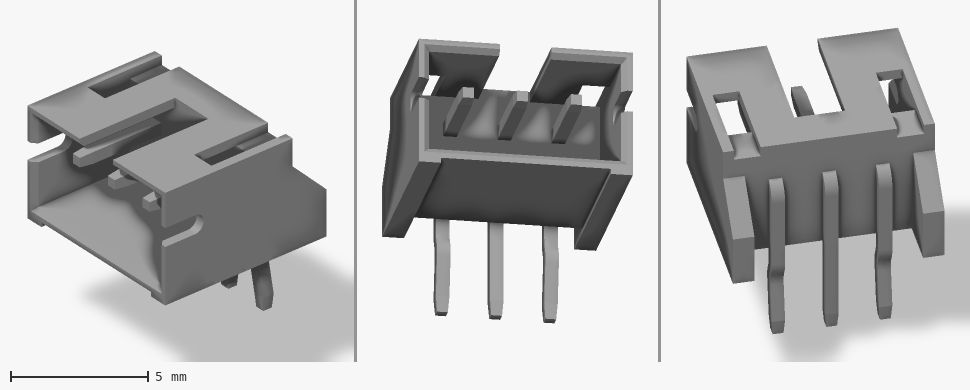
import cadquery as cq
import math


width = 7.9
deck_depth = 6.0
total_depth = 7.6
housing_height = 4.8
wall = 0.4
foot_height = 0.2
foot_width = 2 * wall
wing_height = 2.0
cavity_depth = 4.5

cavity_width = width - 2 * wall
cavity_floor = foot_height + wall
cavity_top = housing_height - wall
cavity_height = cavity_top - cavity_floor
lead_in = wall / 2

key_width = 1.9
window_width = 1.0
window_front = 2.5
side_slot_height = 2 * wall
side_slot_depth = 1.8
side_slot_top = 3.3

pin_count = 3
pitch = 2.0
pin = 0.5
tip = wall
taper = 0.6
pin_axis_z = 3.1
pin_front = 0.705
leg_length = 3.4
bend_inner_radius = 0.3

kink_start = 0.27
kink_angle = math.radians(28)
upper_kink_radius = 0.85
kink_straight_drop = 0.1
lower_kink_radius = 0.8

leg_rear = deck_depth + pin
taper_start_z = taper - leg_length


def box(size_x, y_start, y_end, z_start, z_end, x=0):
    """Block centred on x, given by its Y and Z limits."""
    block = cq.Workplane("XY").box(size_x, y_end - y_start, z_end - z_start, centered=(True, False, False))
    return block.translate((x, y_start, z_start))


def extrude_across(profile, size_x, x=0):
    """Extrude a closed YZ profile symmetrically about x."""
    return profile.extrude(size_x / 2, both=True).translate((x, 0, 0))


def make_shell():
    """Block with sloping rear wings and a lengthwise channel between the feet."""
    wing_length = total_depth - deck_depth
    side = (
        cq.Workplane("YZ")
        .moveTo(0, 0)
        .lineTo(total_depth, 0)
        .lineTo(total_depth, wing_height)
        .lineTo(deck_depth, wing_height + wing_length)
        .lineTo(deck_depth, housing_height)
        .lineTo(0, housing_height)
        .close()
    )
    between_feet = width - 2 * foot_width
    return (
        extrude_across(side, width)
        .cut(box(between_feet, 0, deck_depth, 0, foot_height))
        .cut(box(between_feet, deck_depth, total_depth, 0, housing_height))
    )


def make_cavity():
    """Rectangular pocket with a flared mouth."""
    pocket = box(cavity_width, 0, cavity_depth, cavity_floor, cavity_top)
    flare = (
        cq.Workplane("XZ", origin=(0, 0, (cavity_floor + cavity_top) / 2))
        .rect(cavity_width + 2 * lead_in, cavity_height + 2 * lead_in)
        .workplane(offset=-lead_in)
        .rect(cavity_width, cavity_height)
        .loft(ruled=True)
    )
    return pocket.union(flare)


def make_side_slot():
    """Round-ended slot through both side walls, open at the mating face."""
    radius = side_slot_height / 2
    bottom = side_slot_top - side_slot_height
    profile = (
        cq.Workplane("YZ")
        .moveTo(0, bottom)
        .lineTo(side_slot_depth - radius, bottom)
        .threePointArc((side_slot_depth, bottom + radius), (side_slot_depth - radius, side_slot_top))
        .lineTo(0, side_slot_top)
        .close()
    )
    return extrude_across(profile, width)


def make_housing():
    housing = make_shell().cut(make_cavity()).cut(make_side_slot())
    housing = housing.cut(box(key_width, 0, cavity_depth, cavity_top, housing_height))
    window_x = (cavity_width - window_width) / 2
    for x in (-window_x, window_x):
        housing = housing.cut(box(window_width, window_front, deck_depth, cavity_top, housing_height, x))
    return housing


def make_taper(base_center, direction):
    """Square taper that narrows along the given direction."""
    return (
        cq.Workplane(cq.Plane(base_center, (1, 0, 0), direction))
        .rect(pin, pin)
        .workplane(offset=taper)
        .rect(tip, tip)
        .loft(ruled=True)
    )


def make_bent_bar(x):
    """Horizontal bar that bends through the rear wall and runs down its outside to Z = 0."""
    bend_outer_radius = bend_inner_radius + pin
    bar_top = pin_axis_z + pin / 2
    bend_y = deck_depth - bend_inner_radius
    bend_z = bar_top - bend_outer_radius
    diagonal = math.sqrt(0.5)
    profile = (
        cq.Workplane("YZ")
        .moveTo(pin_front + taper, bar_top)
        .lineTo(bend_y, bar_top)
        .threePointArc(
            (bend_y + bend_outer_radius * diagonal, bend_z + bend_outer_radius * diagonal),
            (leg_rear, bend_z),
        )
        .lineTo(leg_rear, 0)
        .lineTo(deck_depth, 0)
        .lineTo(deck_depth, bend_z)
        .threePointArc(
            (bend_y + bend_inner_radius * diagonal, bend_z + bend_inner_radius * diagonal),
            (bend_y, bar_top - pin),
        )
        .lineTo(pin_front + taper, bar_top - pin)
        .close()
    )
    return extrude_across(profile, pin, x)


def make_straight_leg(x):
    return box(pin, deck_depth, leg_rear, taper_start_z, 0, x)


def kink_points():
    """Start, middle and end of each of the two arcs down the front face of a kinked leg."""
    def upper(angle):
        y = deck_depth - upper_kink_radius * (1 - math.cos(angle))
        return y, -kink_start - upper_kink_radius * math.sin(angle)

    upper_end = upper(kink_angle)
    lower_start = (
        upper_end[0] - kink_straight_drop * math.tan(kink_angle),
        upper_end[1] - kink_straight_drop,
    )
    center_y = lower_start[0] + lower_kink_radius * math.cos(kink_angle)
    center_z = lower_start[1] - lower_kink_radius * math.sin(kink_angle)

    to_taper_y = deck_depth - center_y
    to_taper_z = center_z - taper_start_z
    reach = math.hypot(to_taper_y, to_taper_z)
    return_angle = math.atan2(to_taper_z, -to_taper_y) - math.acos(lower_kink_radius / reach)

    def lower(angle):
        y = center_y - lower_kink_radius * math.cos(angle)
        return y, center_z - lower_kink_radius * math.sin(angle)

    return [
        upper(0),
        upper(kink_angle / 2),
        upper_end,
        lower_start,
        lower((return_angle - kink_angle) / 2),
        lower(return_angle),
    ]


def make_kinked_leg(x):
    """Leg that bows forward; its rear face repeats the front face one pin width behind."""
    front = kink_points()
    rear = [(y + pin, z) for y, z in front]
    profile = (
        cq.Workplane("YZ")
        .moveTo(deck_depth, 0)
        .lineTo(*front[0])
        .threePointArc(front[1], front[2])
        .lineTo(*front[3])
        .threePointArc(front[4], front[5])
        .lineTo(deck_depth, taper_start_z)
        .lineTo(leg_rear, taper_start_z)
        .lineTo(*rear[5])
        .threePointArc(rear[4], rear[3])
        .lineTo(*rear[2])
        .threePointArc(rear[1], rear[0])
        .lineTo(leg_rear, 0)
        .close()
    )
    return extrude_across(profile, pin, x)


def make_pin(x, kinked):
    leg = make_kinked_leg(x) if kinked else make_straight_leg(x)
    leg_axis_y = deck_depth + pin / 2
    return (
        make_bent_bar(x)
        .union(leg)
        .union(make_taper((x, pin_front + taper, pin_axis_z), (0, -1, 0)))
        .union(make_taper((x, leg_axis_y, taper_start_z), (0, 0, -1)))
    )


result = make_housing()
for index in range(pin_count):
    is_outer = index in (0, pin_count - 1)
    pin_x = (index - (pin_count - 1) / 2) * pitch
    result = result.union(make_pin(pin_x, kinked=is_outer))